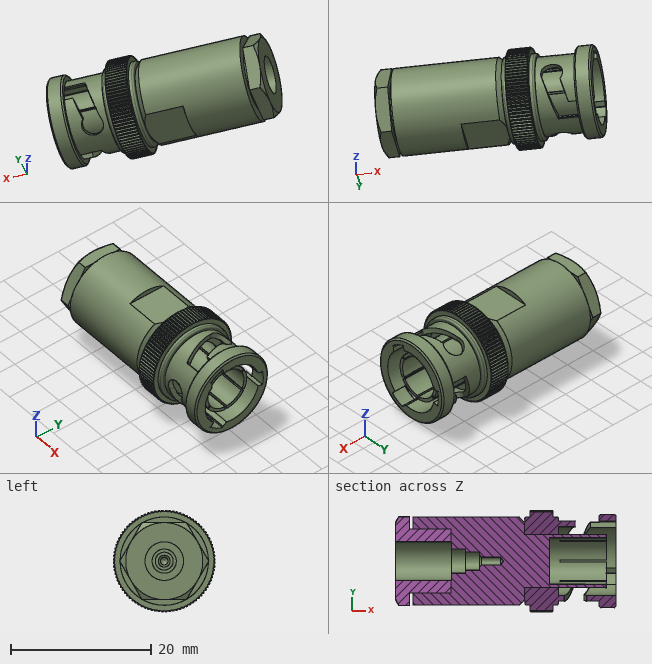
import cadquery as cq
import math


BODY_DIA = 12.6
FLATS_WIDTH = 11.0
CUT_OVERRUN = 1.0

NUT_LENGTH = 2.05
NUT_CHAMFER_ANGLE = 30
NUT_CHAMFER_REACH = 1.0
CABLE_BORE_DIA = 5.5
THREAD_DIA = 9.2
THREAD_END = 8.0

BODY_START = 2.5
BODY_END = 18.45
BODY_CHAMFER = 0.75
FLATS_START = 12.1
PIN_SEAT_BORES = ((3.45, 10.0), (2.55, 12.0))
COUNTERSINK_DIA = 1.68
COUNTERSINK_DEPTH = 0.3
PILOT_DIA = 1.08
PILOT_END = 15.0
PILOT_TIP_LENGTH = 0.4

BARREL_DIA = 7.64
BARREL_BORE_DIA = 6.6
BARREL_BORE_START = 22.0
BARREL_END = 30.1
SLIT_COUNT = 6
SLIT_FIRST_ANGLE = 30
SLIT_WIDTH = 0.3
SLIT_START = 23.5

COUPLING_END = 31.5
FLANGE_END = 23.3
FLANGE_FILLET = 0.3
KNURL_START = 19.2
KNURL_END = 22.5
KNURL_DIA = 14.5
KNURL_CHAMFER = 0.15
KNURL_COUNT = 88
KNURL_DEPTH = 0.2
KNURL_GROOVE_WIDTH = 0.36
SLEEVE_DIA = 11.45
SLEEVE_BORE_DIA = 9.8
END_RING_START = 29.05
END_RING_DIA = 13.35
END_RING_CHAMFER = 0.25

BAYONET_COUNT = 3
LOCK_HOLE_ANGLE = 61.3
LOCK_HOLE_X = 25.7
LOCK_HOLE_DIA = 3.16
RAMP_CENTRE_X = 25.34
RAMP_WIDTH = 2.5
RAMP_PITCH = 9.72
RAMP_START_ANGLE = 6
RAMP_OVERRUN_ANGLE = 10
ENTRY_ANGLES = (45.5, 70.8)
ENTRY_START = 27.2

LUG_GROOVE_START = 25.95
LUG_GROOVE_DIA = 11.0
LUG_GROOVE_OFFSETS = (-3.67, -1.65)


def cylinder(diameter, start, end):
    return cq.Workplane("YZ", origin=(start, 0, 0)).circle(diameter / 2).extrude(end - start)


def turned(profile):
    """Revolve an (x, radius) outline about the X axis."""
    return cq.Workplane("XY").polyline(profile).close().revolve(360, (0, 0, 0), (1, 0, 0))


def copies_about_axis(shape, count, first_angle=0):
    step = 360 / count
    return [shape.rotate((0, 0, 0), (1, 0, 0), first_angle + i * step) for i in range(count)]


def make_nut():
    corner_dia = FLATS_WIDTH / math.cos(math.pi / 6)
    hexagon = cq.Workplane("YZ").polygon(6, corner_dia).extrude(NUT_LENGTH)
    chamfer_depth = NUT_CHAMFER_REACH * math.tan(math.radians(NUT_CHAMFER_ANGLE))
    face_radius = FLATS_WIDTH / 2
    envelope_radius = face_radius + NUT_CHAMFER_REACH
    envelope = turned([
        (0, 0),
        (0, face_radius),
        (chamfer_depth, envelope_radius),
        (NUT_LENGTH, envelope_radius),
        (NUT_LENGTH, 0),
    ])
    nut = hexagon.intersect(envelope)
    nut = nut.union(cylinder(THREAD_DIA, NUT_LENGTH, THREAD_END))
    return nut.cut(cylinder(CABLE_BORE_DIA, 0, THREAD_END))


def cut_flats(body):
    length = BODY_END - FLATS_START
    for side in (1, -1):
        waste = cq.Workplane("XY").box(length, BODY_DIA, BODY_DIA, centered=(False, True, True))
        body = body.cut(waste.translate((FLATS_START, 0, side * (FLATS_WIDTH + BODY_DIA) / 2)))
    return body


def cut_cable_bores(body):
    body = body.cut(cylinder(THREAD_DIA, BODY_START, THREAD_END))
    bore_start = THREAD_END
    for diameter, bore_end in PIN_SEAT_BORES:
        body = body.cut(cylinder(diameter, bore_start, bore_end))
        bore_start = bore_end
    pilot_hole = turned([
        (bore_start, 0),
        (bore_start, COUNTERSINK_DIA / 2),
        (bore_start + COUNTERSINK_DEPTH, PILOT_DIA / 2),
        (PILOT_END, PILOT_DIA / 2),
        (PILOT_END + PILOT_TIP_LENGTH, 0),
    ])
    return body.cut(pilot_hole)


def make_barrel():
    barrel = cylinder(BARREL_DIA, BODY_END, BARREL_END)
    barrel = barrel.cut(cylinder(BARREL_BORE_DIA, BARREL_BORE_START, BARREL_END))
    slit = cq.Workplane("XY").box(
        BARREL_END - SLIT_START, BARREL_DIA, SLIT_WIDTH, centered=(False, False, True)
    ).translate((SLIT_START, 0, 0))
    for cutter in copies_about_axis(slit, SLIT_COUNT, SLIT_FIRST_ANGLE):
        barrel = barrel.cut(cutter)
    return barrel


def make_body():
    body = cylinder(BODY_DIA, BODY_START, BODY_END).faces(">X").chamfer(BODY_CHAMFER)
    body = cut_flats(body)
    body = cut_cable_bores(body)
    return body.union(make_barrel())


def make_knurl():
    """Toothed ring with V grooves parallel to the axis."""
    outer_radius = KNURL_DIA / 2
    root_radius = outer_radius - KNURL_DEPTH
    pitch_angle = 2 * math.pi / KNURL_COUNT
    half_groove_angle = KNURL_GROOVE_WIDTH / KNURL_DIA
    outline = []
    for i in range(KNURL_COUNT):
        root_angle = i * pitch_angle
        for radius, angle in (
            (root_radius, root_angle),
            (outer_radius, root_angle + half_groove_angle),
            (outer_radius, root_angle + pitch_angle - half_groove_angle),
        ):
            outline.append((radius * math.cos(angle), radius * math.sin(angle)))
    teeth = cq.Workplane("YZ", origin=(KNURL_START, 0, 0)).polyline(outline).close()
    teeth = teeth.extrude(KNURL_END - KNURL_START)
    envelope = cylinder(KNURL_DIA, KNURL_START, KNURL_END).edges().chamfer(KNURL_CHAMFER)
    return teeth.intersect(envelope)


def make_ramp():
    """Helical bar of rectangular section that cuts the sloped part of a bayonet slot."""
    sweep_angle = ENTRY_ANGLES[1] - RAMP_START_ANGLE + RAMP_OVERRUN_ANGLE
    middle_radius = (SLEEVE_DIA + SLEEVE_BORE_DIA) / 4
    bar_height = (SLEEVE_DIA - SLEEVE_BORE_DIA) / 2 + CUT_OVERRUN
    helix = cq.Wire.makeHelix(RAMP_PITCH, RAMP_PITCH * sweep_angle / 360, middle_radius)
    bar = (
        cq.Workplane("XZ")
        .center(middle_radius, 0)
        .rect(bar_height, RAMP_WIDTH)
        .sweep(cq.Workplane(helix), isFrenet=True)
    )
    bar = bar.rotate((0, 0, 0), (1, 1, 1), 120)
    bar = bar.rotate((0, 0, 0), (1, 0, 0), RAMP_START_ANGLE)
    return bar.translate((RAMP_CENTRE_X + RAMP_PITCH * RAMP_START_ANGLE / 360, 0, 0))


def sector(start, end, first_angle, last_angle):
    """Wedge about the axis, wider than the sleeve, between two angles."""
    corners = [(0, 0)]
    for angle in (first_angle, last_angle):
        radians = math.radians(angle)
        corners.append((SLEEVE_DIA * math.cos(radians), SLEEVE_DIA * math.sin(radians)))
    return cq.Workplane("YZ", origin=(start, 0, 0)).polyline(corners).close().extrude(end - start)


def make_ramp_and_entry():
    """Ramp that runs into a sector-shaped channel to the front, under the end ring."""
    entry_start_angle, entry_end_angle = ENTRY_ANGLES
    ramp = make_ramp().intersect(sector(FLANGE_END, COUPLING_END, 0, entry_end_angle))
    entry = sector(ENTRY_START, COUPLING_END, entry_start_angle, entry_end_angle)
    return ramp.union(entry).intersect(cylinder(SLEEVE_DIA, FLANGE_END, COUPLING_END))


def make_lug_groove():
    first_side, last_side = LUG_GROOVE_OFFSETS
    length = COUPLING_END - LUG_GROOVE_START
    groove = cq.Workplane("XY").box(length, last_side - first_side, SLEEVE_DIA, centered=False)
    groove = groove.translate((LUG_GROOVE_START, first_side, 0))
    return groove.intersect(cylinder(LUG_GROOVE_DIA, LUG_GROOVE_START, COUPLING_END))


def make_lock_hole():
    lock_hole = cq.Workplane("XZ").center(LOCK_HOLE_X, 0).circle(LOCK_HOLE_DIA / 2)
    return lock_hole.extrude(-SLEEVE_DIA)


def make_coupling():
    flange = cylinder(BODY_DIA, BODY_END, FLANGE_END).edges().fillet(FLANGE_FILLET)
    end_ring = cylinder(END_RING_DIA, END_RING_START, COUPLING_END).edges().chamfer(END_RING_CHAMFER)
    coupling = flange.union(cylinder(SLEEVE_DIA, FLANGE_END, COUPLING_END))
    coupling = coupling.union(end_ring)
    coupling = coupling.union(make_knurl())
    coupling = coupling.cut(cylinder(BARREL_DIA, BODY_END, FLANGE_END))
    coupling = coupling.cut(cylinder(SLEEVE_BORE_DIA, FLANGE_END, COUPLING_END))
    for slot_part, first_angle in (
        (make_lock_hole(), LOCK_HOLE_ANGLE),
        (make_ramp_and_entry(), LOCK_HOLE_ANGLE),
        (make_lug_groove(), 0),
    ):
        for cutter in copies_about_axis(slot_part, BAYONET_COUNT, first_angle):
            coupling = coupling.cut(cutter)
    return coupling


nut = make_nut()
body = make_body()
coupling = make_coupling()

result = cq.Compound.makeCompound([nut.val(), body.val(), coupling.val()])